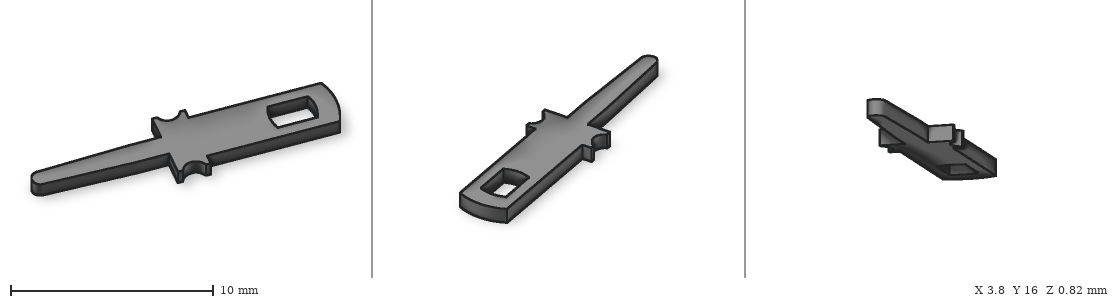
import cadquery as cq

thickness = 0.82
total_length = 16.0

blade_width = 2.75
blade_dome_height = 0.32
slot_width = 1.49
slot_length = 2.42
slot_dome_height = 0.16
slot_end_gap = 1.09

collar_width = 3.8
collar_length = 1.73
blade_length = 7.28
notch_opening = 1.2
notch_depth = 0.4

pin_width = 1.2
pin_straight_length = 1.65
tip_width = 0.88
tip_height = 0.42

blade_end = total_length / 2
tip_end = -total_length / 2
collar_top = blade_end - blade_length
collar_bottom = collar_top - collar_length
collar_middle = (collar_top + collar_bottom) / 2
taper_start = collar_bottom - pin_straight_length
taper_end = tip_end + tip_height
slot_center = blade_end - slot_end_gap - slot_length / 2


def make_plate():
    """Blade, collar and pin as one flat outline, traced counterclockwise from the taper's left end."""
    blade_half = blade_width / 2
    collar_half = collar_width / 2
    pin_half = pin_width / 2
    tip_half = tip_width / 2
    notch_half = notch_opening / 2
    notch_floor = collar_half - notch_depth
    blade_shoulder = blade_end - blade_dome_height

    return (
        cq.Workplane("XY")
        .moveTo(-tip_half, taper_end)
        .threePointArc((0, tip_end), (tip_half, taper_end))
        .lineTo(pin_half, taper_start)
        .lineTo(pin_half, collar_bottom)
        .lineTo(collar_half, collar_bottom)
        .lineTo(collar_half, collar_middle - notch_half)
        .threePointArc((notch_floor, collar_middle), (collar_half, collar_middle + notch_half))
        .lineTo(collar_half, collar_top)
        .lineTo(blade_half, collar_top)
        .lineTo(blade_half, blade_shoulder)
        .threePointArc((0, blade_end), (-blade_half, blade_shoulder))
        .lineTo(-blade_half, collar_top)
        .lineTo(-collar_half, collar_top)
        .lineTo(-collar_half, collar_middle + notch_half)
        .threePointArc((-notch_floor, collar_middle), (-collar_half, collar_middle - notch_half))
        .lineTo(-collar_half, collar_bottom)
        .lineTo(-pin_half, collar_bottom)
        .lineTo(-pin_half, taper_start)
        .close()
        .extrude(thickness)
    )


def make_slot():
    """Through slot with straight sides and shallow domed ends."""
    half_width = slot_width / 2
    half_length = slot_length / 2
    half_side = half_length - slot_dome_height
    return (
        cq.Workplane("XY")
        .center(0, slot_center)
        .moveTo(half_width, -half_side)
        .lineTo(half_width, half_side)
        .threePointArc((0, half_length), (-half_width, half_side))
        .lineTo(-half_width, -half_side)
        .threePointArc((0, -half_length), (half_width, -half_side))
        .close()
        .extrude(thickness)
    )


result = make_plate().cut(make_slot())